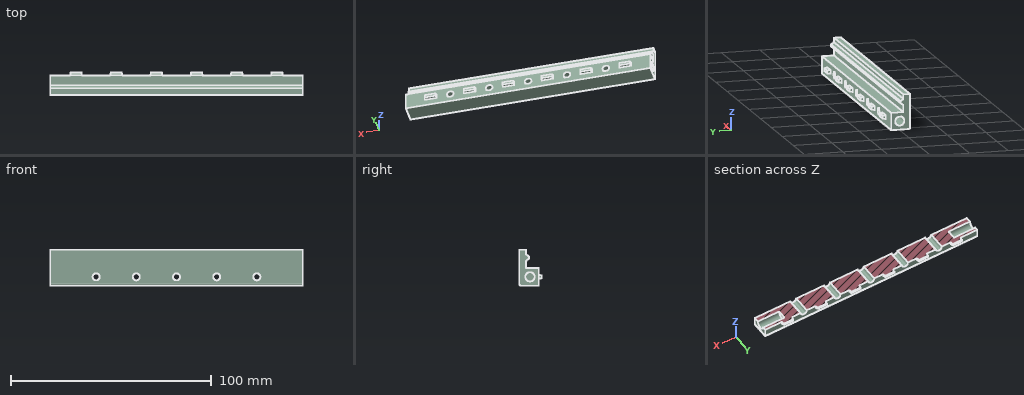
import cadquery as cq

length = 126.0
height = 18.0
base_depth = 9.8
base_height = 9.0
wall_thickness = 3.5
front_edge_radius = 1.0

rib_projection = 1.5
rib_root_width = 3.3
rib_tip_width = 1.0
rib_center_z = 14.1

feature_z = base_height / 2
pitch = 20.0

hole_count = 5
hole_diameter = 3.4

peg_count = hole_count + 1
peg_length = 6.0
peg_height = 2.0
total_depth = 11.3
peg_projection = total_depth - base_depth
peg_draft_angle = 10

bore_diameter = 4.7
bore_depth = 12.6
bore_y = 5.4


def row_positions(count):
    """X positions of evenly pitched features centred on the rail."""
    return [(i - (count - 1) / 2) * pitch for i in range(count)]


def make_rail():
    """Extrude the L-shaped section, including the rib, and round its lower front edge."""
    rib_tip_y = wall_thickness + rib_projection
    section = [
        (0, 0),
        (base_depth, 0),
        (base_depth, base_height),
        (wall_thickness, base_height),
        (wall_thickness, rib_center_z - rib_root_width / 2),
        (rib_tip_y, rib_center_z - rib_tip_width / 2),
        (rib_tip_y, rib_center_z + rib_tip_width / 2),
        (wall_thickness, rib_center_z + rib_root_width / 2),
        (wall_thickness, height),
        (0, height),
    ]
    rail = cq.Workplane("YZ").polyline(section).close().extrude(length / 2, both=True)
    return rail.edges("|X and <Y and <Z").fillet(front_edge_radius)


def make_pegs():
    """Rectangular pegs narrowing slightly outward from the back face."""
    points = [(x, feature_z) for x in row_positions(peg_count)]
    return (
        cq.Workplane("XZ", origin=(0, base_depth, 0))
        .pushPoints(points)
        .rect(peg_length, peg_height)
        .extrude(-peg_projection, taper=peg_draft_angle)
    )


def make_cross_holes():
    """Cylinders passing through the full depth of the base."""
    points = [(x, feature_z) for x in row_positions(hole_count)]
    return cq.Workplane("XZ").pushPoints(points).circle(hole_diameter / 2).extrude(-base_depth)


def make_end_bores():
    """Cylinders reaching into the rail from both end faces."""
    left_bore = (
        cq.Workplane("YZ", origin=(-length / 2, bore_y, feature_z))
        .circle(bore_diameter / 2)
        .extrude(bore_depth)
    )
    return left_bore.union(left_bore.mirror("YZ"))


result = make_rail().union(make_pegs()).cut(make_cross_holes()).cut(make_end_bores())